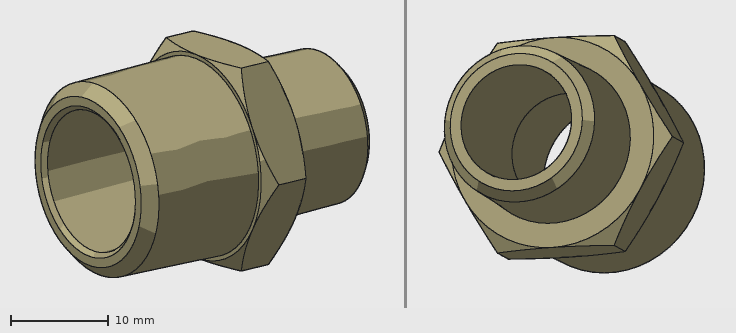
import cadquery as cq
import math

length = 31.0
hex_flats = 22.0
hex_width = 5.5
hex_chamfer_angle = 30.0

large_length = 14.0
large_root_radius = 10.57
large_tip_radius = 10.3
large_end_radius = 9.0
large_chamfer = 1.3

small_root_radius = 8.45
small_tip_radius = 8.18
small_end_radius = 7.2
small_chamfer = 1.0

large_bore_radius = 7.5
mouth_chamfer = 0.5
small_bore_radius = 6.0
large_bore_depth = large_length
bore_cone_half_angle = 60.0

front = -length / 2
back = length / 2
hex_front = front + large_length
hex_back = hex_front + hex_width


def revolve_about_y(points):
    """Revolve an outline of (radius, y) points about the Y axis, with the seam at the +Z side."""
    outline = [(y, radius) for radius, y in points]
    return cq.Workplane("YZ").polyline(outline).close().revolve(360, (0, 0, 0), (1, 0, 0))


def make_hex():
    """Hexagon with corners on X, both faces chamfered by a cone touching the flats."""
    flat_radius = hex_flats / 2
    corner_radius = flat_radius / math.cos(math.radians(30))
    chamfer_depth = (corner_radius - flat_radius) * math.tan(math.radians(hex_chamfer_angle))
    prism = (
        cq.Workplane("XZ", origin=(0, hex_back, 0))
        .polygon(6, 2 * corner_radius)
        .extrude(hex_width)
    )
    envelope = revolve_about_y([
        (0, hex_front),
        (flat_radius, hex_front),
        (corner_radius, hex_front + chamfer_depth),
        (corner_radius, hex_back - chamfer_depth),
        (flat_radius, hex_back),
        (0, hex_back),
    ])
    return prism.intersect(envelope)


def make_spigots():
    """Both tapered spigots, chamfered at their ends, as one revolved body."""
    return revolve_about_y([
        (0, front),
        (large_end_radius, front),
        (large_tip_radius, front + large_chamfer),
        (large_root_radius, hex_front),
        (large_root_radius, hex_back - hex_width / 2),
        (small_root_radius, hex_back - hex_width / 2),
        (small_root_radius, hex_back),
        (small_tip_radius, back - small_chamfer),
        (small_end_radius, back),
        (0, back),
    ])


def make_bore():
    """Through bore: chamfered wide bore at the large end, with a cone down to the small bore."""
    cone_start = front + large_bore_depth
    cone_length = (large_bore_radius - small_bore_radius) / math.tan(math.radians(bore_cone_half_angle))
    return revolve_about_y([
        (0, front),
        (large_bore_radius + mouth_chamfer, front),
        (large_bore_radius, front + mouth_chamfer),
        (large_bore_radius, cone_start),
        (small_bore_radius, cone_start + cone_length),
        (small_bore_radius, back),
        (0, back),
    ])


result = make_hex().union(make_spigots()).cut(make_bore())